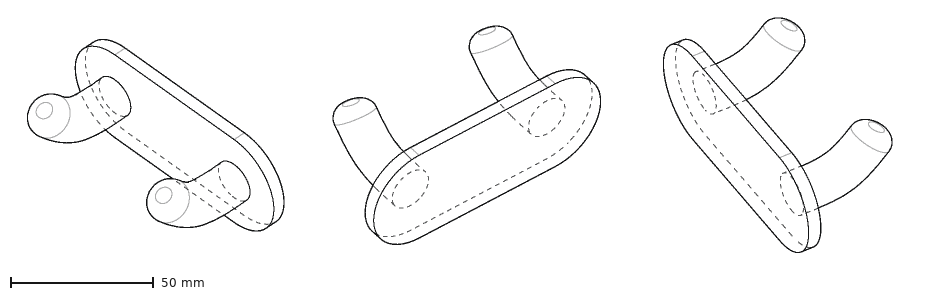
import cadquery as cq
import math

plate_length = 100.0
plate_height = 40.0
plate_thickness = 5.0

peg_spacing = 60.0
peg_diameter = 16.0
bend_start = 15.2
bend_radius = 24.6
bend_angle = 47.0
tip_length = 10.2
end_face_angle = 60.0
end_rounding = 5.0

bend = math.radians(bend_angle)
tip_direction = (-math.cos(bend), math.sin(bend))
root_overlap = plate_thickness / 2


def arc_point(angle):
    """Point (Y, Z) on the bend of the peg axis after turning by angle (radians)."""
    return (
        -bend_start - bend_radius * math.sin(angle),
        bend_radius * (1 - math.cos(angle)),
    )


def along_tip(distance):
    """Point (Y, Z) on the tip axis at a distance beyond the bend."""
    y, z = arc_point(bend)
    return (y + distance * tip_direction[0], z + distance * tip_direction[1])


def make_plate():
    return (
        cq.Workplane("XZ")
        .slot2D(plate_length, plate_height)
        .extrude(plate_thickness)
    )


def make_peg():
    """Bent round peg centred on X = 0, with a slanted, rounded end."""
    overlong_tip = tip_length + peg_diameter / 2
    axis = (
        cq.Workplane("YZ")
        .spline(
            [(-root_overlap, 0), arc_point(0), arc_point(bend / 2), arc_point(bend), along_tip(overlong_tip)],
            tangents=[(-1, 0), tip_direction],
        )
    )
    bar = (
        cq.Workplane("XZ", origin=(0, -root_overlap, 0))
        .circle(peg_diameter / 2)
        .sweep(axis)
    )

    slant = math.radians(end_face_angle)
    end_y, end_z = along_tip(tip_length)
    end_plane = cq.Plane(
        origin=(0, end_y, end_z),
        xDir=(1, 0, 0),
        normal=(0, -math.cos(slant), math.sin(slant)),
    )
    trim_size = 2 * peg_diameter
    trim = cq.Workplane(end_plane).rect(trim_size, trim_size).extrude(trim_size)
    peg = bar.cut(trim)
    return peg.faces(cq.NearestToPointSelector((0, end_y, end_z))).edges().fillet(end_rounding)


result = make_plate()
peg = make_peg()
for side in (-1, 1):
    result = result.union(peg.translate((side * peg_spacing / 2, 0, 0)))